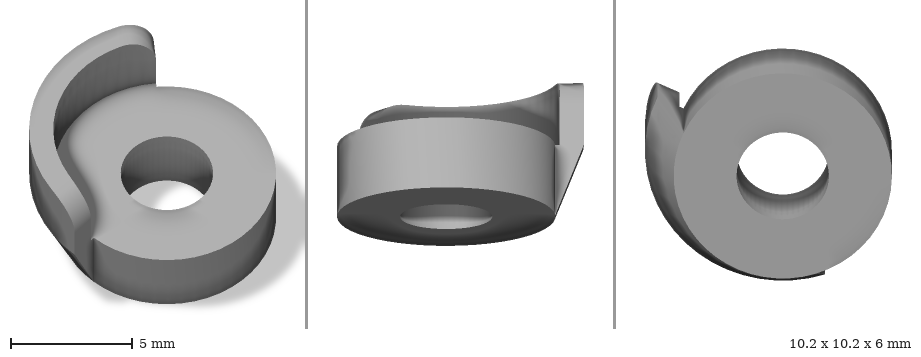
import cadquery as cq

longest_side = 10.18
height = 6.0
disk_height = height / 2
disk_radius = 4.5
bore_radius = 1.9
wall_outer_radius = longest_side - disk_radius
wall_inner_radius = 4.68
corner_radius = 1.5
wall_start_angle = 143.1
wall_end_angle = 275.6


def make_disk():
    """Plain round base."""
    return cq.Workplane("XY").circle(disk_radius).extrude(disk_height)


def make_wall():
    """Partial ring: a flared skirt beside the disk with an upright wall above it."""
    sector = (
        cq.Workplane("XZ")
        .moveTo(bore_radius, 0)
        .lineTo(disk_radius, 0)
        .lineTo(wall_outer_radius, disk_height)
        .lineTo(wall_outer_radius, height)
        .lineTo(wall_inner_radius, height)
        .lineTo(wall_inner_radius, disk_height)
        .lineTo(bore_radius, disk_height)
        .close()
        .revolve(wall_end_angle - wall_start_angle, (0, 0), (0, 1))
    )
    sector = sector.faces(">Z").edges("%LINE").fillet(corner_radius)
    return sector.rotate((0, 0, 0), (0, 0, 1), wall_start_angle)


def make_bore():
    """Through hole on the disk axis."""
    return cq.Workplane("XY").circle(bore_radius).extrude(disk_height)


result = make_disk().union(make_wall()).cut(make_bore())